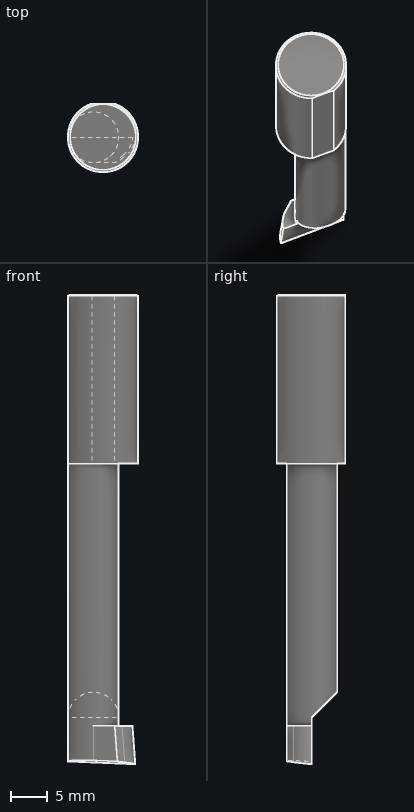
import cadquery as cq
import math

total_length = 63.5

shank_radius = 4.75
shank_length = 22.85
flat_y = 4.5
chamfer_inset = 0.3
chamfer_height = 0.2

neck_radius = 3.4
neck_x = neck_radius - shank_radius

relief_start = 6.35
relief_angle = 45.0

tip_height = 5.2
tip_lean = 0.4
tip_front_end = 1.95
tip_facet_x = 2.9
tip_facet_y = -2.55
tip_bulge_x = 3.95
tip_bulge_y = -1.4
tip_corner_x = 4.4

end_side_angle = 2.4
end_front_angle = 5.0

margin = 1.3
cutter_size = 25.4

shank_bottom = total_length - shank_length


def make_shank():
    """Cylinder with a chamfered top rim and a flat along its +Y side."""
    body = cq.Workplane("XY", origin=(0, 0, shank_bottom)).circle(shank_radius).extrude(shank_length)
    body = body.faces(">Z").chamfer(chamfer_height, chamfer_inset)
    flat_cutter = (
        cq.Workplane("XY", origin=(0, flat_y, shank_bottom))
        .rect(2 * shank_radius, 2 * (shank_radius - flat_y))
        .extrude(shank_length)
    )
    return body.cut(flat_cutter.translate((0, shank_radius - flat_y, 0)))


def make_neck():
    """Cylinder with its +Y half removed below a sloping run-out."""
    neck = (
        cq.Workplane("XY", origin=(neck_x, 0, -margin))
        .circle(neck_radius)
        .extrude(shank_bottom + margin)
    )
    relief_depth = neck_radius + margin
    relief_rise = relief_depth * math.tan(math.radians(relief_angle))
    relief = (
        cq.Workplane("YZ")
        .moveTo(0, -2 * margin)
        .lineTo(relief_depth, -2 * margin)
        .lineTo(relief_depth, relief_start + relief_rise)
        .lineTo(0, relief_start)
        .close()
        .extrude(cutter_size, both=True)
    )
    return neck.cut(relief)


def tip_outline(z):
    """Tip section at height z; its outer side leans inward going up."""
    shift = -tip_lean * z / tip_height
    return (
        cq.Workplane("XY", origin=(0, 0, z))
        .moveTo(neck_x, 0)
        .lineTo(neck_x, -neck_radius)
        .lineTo(tip_front_end + shift, -neck_radius)
        .lineTo(tip_facet_x + shift, tip_facet_y)
        .threePointArc((tip_bulge_x + shift, tip_bulge_y), (tip_corner_x + shift, 0))
        .close()
        .val()
    )


def make_tip():
    return cq.Workplane(cq.Solid.makeLoft([tip_outline(-margin), tip_outline(tip_height)], True))


def make_end_cutter():
    """Block below the end face, tilted about the cutting corner."""
    block = cq.Workplane("XY").box(cutter_size, cutter_size, cutter_size, centered=(True, True, False))
    block = block.translate((0, 0, -cutter_size))
    block = block.rotate((0, 0, 0), (1, 0, 0), -end_front_angle)
    block = block.rotate((0, 0, 0), (0, 1, 0), end_side_angle)
    return block.translate((tip_corner_x, 0, 0))


cutting_end = make_neck().union(make_tip()).cut(make_end_cutter())
result = make_shank().union(cutting_end)